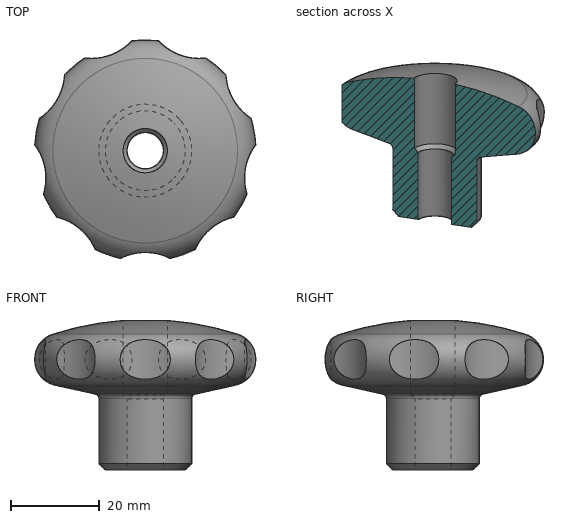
import cadquery as cq
import math

knob_radius = 25.0
rim_round_radius = 6.0
rim_middle_height = 25.0
dome_apex_height = 34.0
underside_slope = math.radians(12.5)

stem_radius = 10.5
stem_chamfer = 1.5
stem_fillet_radius = 1.0

bore_top_radius = 5.0
bore_bottom_radius = 4.08
cone_top_height = 17.0
cone_half_angle = math.radians(45.0)

scallop_count = 9
scallop_radius = 12.5
scallop_floor_radius = 23.0
first_scallop_angle = -90.0

rim_center_radius = knob_radius - rim_round_radius

drop = dome_apex_height - rim_middle_height
dome_radius = (rim_center_radius**2 + drop**2 - rim_round_radius**2) / (2 * (drop - rim_round_radius))
dome_center_height = dome_apex_height - dome_radius


def dome_point(angle):
    """Point on the dome section at an angle from the knob axis."""
    return (
        dome_radius * math.sin(angle),
        dome_center_height + dome_radius * math.cos(angle),
    )


def make_body():
    """Revolve the stem, sloped underside, rounded rim and dome as one profile."""
    dome_edge_angle = math.atan2(rim_center_radius, rim_middle_height - dome_center_height)

    underside_outer = (
        rim_center_radius + rim_round_radius * math.sin(underside_slope),
        rim_middle_height - rim_round_radius * math.cos(underside_slope),
    )

    fillet_center_radius = stem_radius + stem_fillet_radius
    underside_inner_radius = fillet_center_radius - stem_fillet_radius * math.sin(underside_slope)
    underside_run = underside_outer[0] - underside_inner_radius
    underside_inner = (
        underside_inner_radius,
        underside_outer[1] - underside_run * math.tan(underside_slope),
    )
    fillet_center_height = underside_inner[1] - stem_fillet_radius * math.cos(underside_slope)
    fillet_middle_angle = (math.pi / 2 - underside_slope) / 2
    fillet_middle = (
        fillet_center_radius - stem_fillet_radius * math.cos(fillet_middle_angle),
        fillet_center_height + stem_fillet_radius * math.sin(fillet_middle_angle),
    )

    return (
        cq.Workplane("XZ")
        .moveTo(0, 0)
        .lineTo(stem_radius - stem_chamfer, 0)
        .lineTo(stem_radius, stem_chamfer)
        .lineTo(stem_radius, fillet_center_height)
        .threePointArc(fillet_middle, underside_inner)
        .lineTo(*underside_outer)
        .threePointArc((knob_radius, rim_middle_height), dome_point(dome_edge_angle))
        .threePointArc(dome_point(dome_edge_angle / 2), (0, dome_apex_height))
        .close()
        .revolve(360, (0, 0, 0), (0, 1, 0))
    )


def make_bore():
    """Clearance bore from the dome, narrowing by a cone to the hole through the stem."""
    cone_depth = (bore_top_radius - bore_bottom_radius) / math.tan(cone_half_angle)
    cone_bottom_height = cone_top_height - cone_depth
    return (
        cq.Workplane("XZ")
        .lineTo(bore_bottom_radius, 0)
        .lineTo(bore_bottom_radius, cone_bottom_height)
        .lineTo(bore_top_radius, cone_top_height)
        .lineTo(bore_top_radius, dome_apex_height)
        .lineTo(0, dome_apex_height)
        .close()
        .revolve(360, (0, 0, 0), (0, 1, 0))
    )


def make_scallops():
    """Upright cylinders that cut the finger grips around the rim."""
    return (
        cq.Workplane("XY")
        .polarArray(
            scallop_floor_radius + scallop_radius,
            first_scallop_angle,
            360,
            scallop_count,
        )
        .circle(scallop_radius)
        .extrude(dome_apex_height, combine=False)
    )


result = make_body().cut(make_bore())
for scallop in make_scallops().vals():
    result = result.cut(cq.Workplane(scallop))